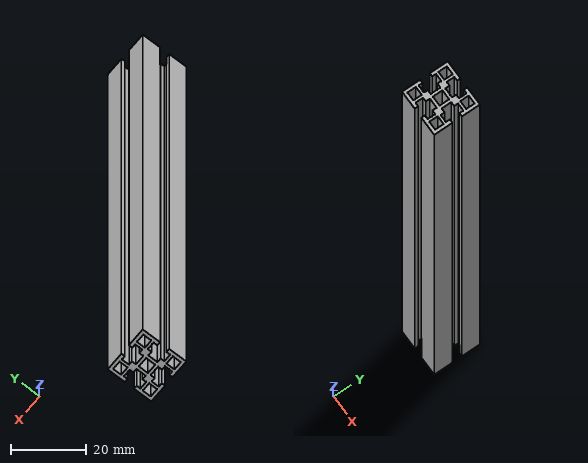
import cadquery as cq

LENGTH = 194.0
SIDE = 15.0

SLOT_OPENING = 3.1
CAVITY_WIDTH = 5.6
LIP_THICKNESS = 1.2
CAVITY_FLOOR = 3.9
GROOVE_FLOOR = 2.5

CENTER_BORE = 3.1
CORNER_BORE = 2.7
CORNER_BORE_OFFSET = 5.0

HALF_SIDE = SIDE / 2


def full_length_box(width, depth, x, y):
    """Box of the full part length, centred on (x, y)."""
    return cq.Workplane("XY").center(x, y).rect(width, depth).extrude(LENGTH)


def t_slot():
    """Cutter for the +Y slot: a narrow groove crossed by a wider cavity."""
    groove_depth = HALF_SIDE - GROOVE_FLOOR
    groove = full_length_box(SLOT_OPENING, groove_depth, 0, HALF_SIDE - groove_depth / 2)
    cavity_top = HALF_SIDE - LIP_THICKNESS
    cavity_depth = cavity_top - CAVITY_FLOOR
    cavity = full_length_box(CAVITY_WIDTH, cavity_depth, 0, cavity_top - cavity_depth / 2)
    return groove.union(cavity)


body = full_length_box(SIDE, SIDE, 0, 0)

slot = t_slot()
for angle in (0, 90, 180, 270):
    body = body.cut(slot.rotate((0, 0, 0), (0, 0, 1), angle))

body = body.cut(full_length_box(CENTER_BORE, CENTER_BORE, 0, 0))
for x_sign in (-1, 1):
    for y_sign in (-1, 1):
        corner_bore = full_length_box(
            CORNER_BORE,
            CORNER_BORE,
            x_sign * CORNER_BORE_OFFSET,
            y_sign * CORNER_BORE_OFFSET,
        )
        body = body.cut(corner_bore)

result = body